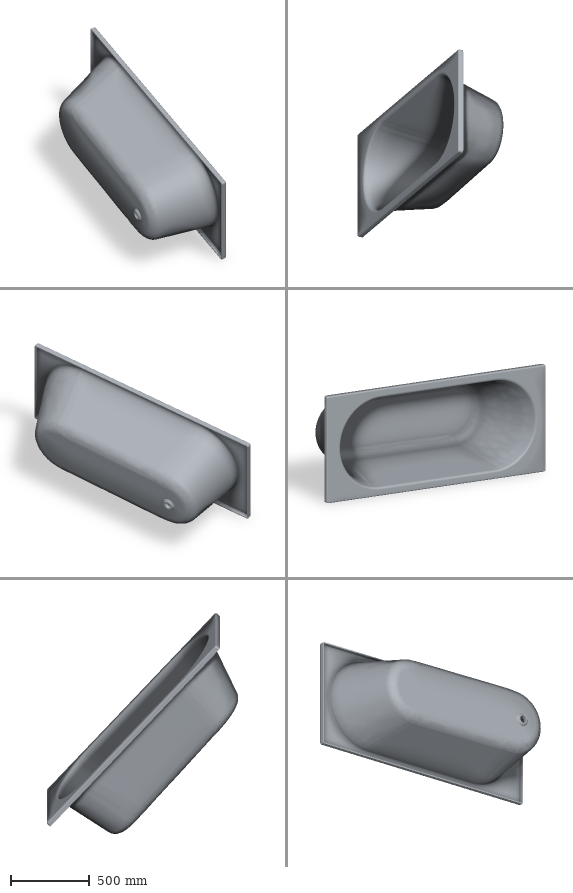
import cadquery as cq
import math


flange_length = 1600.0
flange_width = 700.0
flange_depth = 34.0
wall = 8.0
corner_radius = 13.0
flange_edge_radius = 10.0
flange_border = 16.0

rim_half_width = 304.0
rim_left_center = -430.0
rim_right_center = 403.0
rim_left_seam = -465.0
rim_right_seam = 518.0

floor_half_width = 205.0
floor_left_start = -326.0
floor_left_radius = 203.0
floor_left_tip = -554.0
floor_right_start = 338.0
floor_right_radius = 200.0
floor_right_tip = 645.0

drain_x = 469.0
floor_depth_at_drain = 453.0
floor_slope_deg = 1.1

floor_round = 72.0
rim_round = 16.0

spigot_depth = 467.0
spigot_base_diameter = 88.0
spigot_tip_diameter = 62.0
drain_diameter = 48.0


def rim_end(center, seam, radius):
    """Start, middle and end of the arc up to the seam, then the tip, of a round rim end."""
    seam_z = math.sqrt(radius**2 - (seam - center) ** 2)
    side = math.copysign(1, seam - center)
    half_angle = math.atan2(abs(seam - center), seam_z) / 2
    middle = (center + side * radius * math.sin(half_angle), radius * math.cos(half_angle))
    return (center, radius), middle, (seam, seam_z), (center + side * radius, 0)


def floor_end(start, tip, half_width, radius):
    """Blend start, middle and end, then the tip, of a floor end with tangent arcs."""
    side = math.copysign(1, tip - start)
    reach = abs(tip - start) - radius
    blend = (reach**2 + half_width**2 - radius**2) / (2 * (half_width - radius))
    blend_angle = math.asin(reach / (blend - radius))

    def on_blend(angle):
        x = start + side * blend * math.sin(angle)
        return (x, half_width - blend * (1 - math.cos(angle)))

    return (start, half_width), on_blend(blend_angle / 2), on_blend(blend_angle), (tip, 0)


def outline(plane, left, right):
    """Closed wire through both ends, mirrored about the plane's long axis."""

    def mirrored(point):
        return (point[0], -point[1])

    left_start, left_middle, left_seam, left_tip = left
    right_start, right_middle, right_seam, right_tip = right
    return (
        cq.Workplane(plane)
        .moveTo(*left_start)
        .lineTo(*right_start)
        .threePointArc(right_middle, right_seam)
        .threePointArc(right_tip, mirrored(right_seam))
        .threePointArc(mirrored(right_middle), mirrored(right_start))
        .lineTo(*mirrored(left_start))
        .threePointArc(mirrored(left_middle), mirrored(left_seam))
        .threePointArc(left_tip, left_seam)
        .threePointArc(left_middle, left_start)
        .close()
        .wire()
        .val()
    )


def bowl(inset):
    """Solid bowl, drawn in from the outer skin by the inset, with a rounded floor edge."""
    slope = math.radians(floor_slope_deg)
    floor_depth = floor_depth_at_drain - drain_x * math.tan(slope) - inset
    rim_plane = cq.Plane(origin=(0, 0, 0), xDir=(1, 0, 0), normal=(0, -1, 0))
    floor_plane = cq.Plane(
        origin=(0, -floor_depth, 0),
        xDir=(math.cos(slope), -math.sin(slope), 0),
        normal=(-math.sin(slope), -math.cos(slope), 0),
    )
    rim_radius = rim_half_width - inset
    rim = outline(
        rim_plane,
        rim_end(rim_left_center, rim_left_seam, rim_radius),
        rim_end(rim_right_center, rim_right_seam, rim_radius),
    )
    half_width = floor_half_width - inset
    floor = outline(
        floor_plane,
        floor_end(floor_left_start, floor_left_tip + inset, half_width, floor_left_radius - inset),
        floor_end(floor_right_start, floor_right_tip - inset, half_width, floor_right_radius - inset),
    )
    solid = cq.Workplane(cq.Solid.makeLoft([rim, floor], True))
    return solid.faces("<Y").edges().fillet(floor_round - inset)


def flange():
    """Rectangular flange plate with a down-turned skirt around its edge."""
    block = (
        cq.Workplane("XY")
        .box(flange_length, flange_depth, flange_width)
        .translate((0, -flange_depth / 2, 0))
        .edges("|Y")
        .fillet(corner_radius)
        .faces(">Y")
        .edges()
        .fillet(flange_edge_radius)
    )
    recess = (
        cq.Workplane("XY")
        .box(flange_length - 2 * wall, flange_depth, flange_width - 2 * wall)
        .translate((0, -flange_depth / 2 - wall, 0))
    )
    return block.cut(recess)


def spigot():
    """Tapered drain spigot, rooted in the floor so that the sloping floor leaves no gap."""
    root = wall / 2
    plane = cq.Plane(origin=(drain_x, root - floor_depth_at_drain, 0), xDir=(1, 0, 0), normal=(0, -1, 0))
    return (
        cq.Workplane(plane)
        .circle(spigot_base_diameter / 2)
        .extrude(root)
        .faces("<Y")
        .workplane()
        .circle(spigot_base_diameter / 2)
        .workplane(offset=spigot_depth - floor_depth_at_drain)
        .circle(spigot_tip_diameter / 2)
        .loft()
    )


def rim_edges(y):
    """Selector for the edges of the bowl outline at height y, clear of the flange border."""
    half_length = flange_length / 2 - flange_border
    half_width = flange_width / 2 - flange_border
    margin = wall / 4
    return cq.selectors.BoxSelector(
        (-half_length, y - margin, -half_width), (half_length, y + margin, half_width)
    )


tub = flange().union(bowl(0)).edges(rim_edges(-wall)).fillet(rim_round - wall)
tub = tub.cut(bowl(wall)).edges(rim_edges(0)).fillet(rim_round)

drain_hole = cq.Workplane("XZ").center(drain_x, 0).circle(drain_diameter / 2).extrude(spigot_depth)

result = tub.union(spigot()).cut(drain_hole)